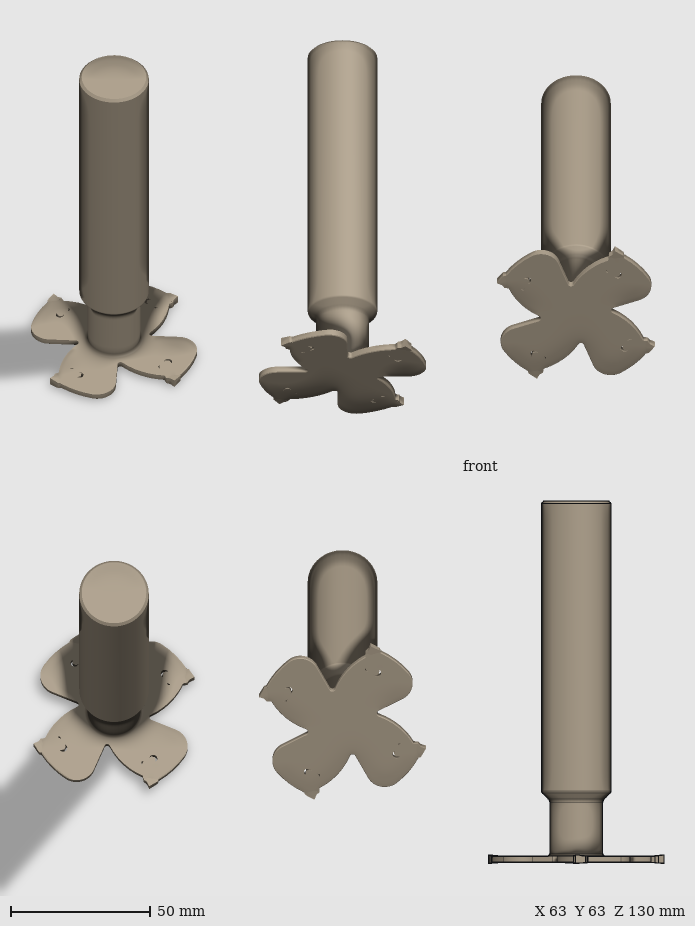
import cadquery as cq
import math

total_height = 130.0
blade_count = 4
blade_pitch = 360 / blade_count

disc_bottom = 0.3
disc_top = 2.6
disc_thickness = disc_top - disc_bottom
disc_bottom_chamfer = 0.3
hub_half_width = 13.0
rim_radius = 30.5
rim_bevel_width = 0.4
rim_bevel_drop = 0.1
blade_tip_radius = 6.8
blade_tip_angle = 31.5
root_fillet = 1.0
root_corner = (6.8, 9.1)
trailing_middle = (18.8, -5.3)
trailing_end = (26.9, -0.5)
rim_end_angle = 7.9

shank_radius = 25.0 / 2
neck_radius = 19.0 / 2
shank_top_chamfer = 0.9
shoulder_top = 25.6
shoulder_angle = math.radians(45)
shoulder_bottom = shoulder_top - (shank_radius - neck_radius) / math.tan(shoulder_angle)
shoulder_edge_radius = 1.0
neck_top_radius = 2.0
neck_base_radius = 1.0

cutting_width = 63.0
cutting_corner_bottom = 0.0
cutting_corner_top = 3.1
back_leading = (21.2, 6.5)
back_trailing = (21.7, 1.0)
heel = (28.2, -1.0)
notch = (29.5, -0.32)
cutting_corner = (cutting_width / 2, -0.3)
nose = (30.4, 3.9)
flank = (31.0, 3.4)
ramp_end = (28.3, 1.0)
back_leading_chamfer = 1.2
back_trailing_chamfer = 1.0
pocket_relief_radius = 1.4
pocket_relief_centre = (22.4, 5.5)


def turned(point, degrees):
    """The point turned about the Z axis."""
    angle = math.radians(degrees)
    x, y = point
    return (
        x * math.cos(angle) - y * math.sin(angle),
        x * math.sin(angle) + y * math.cos(angle),
    )


def tip_points():
    """Start, middle and end of the blade tip arc, tangent to the leading edge and to the rim."""
    centre = turned((rim_radius - blade_tip_radius, 0), blade_tip_angle)
    to_root = (root_corner[0] - centre[0], root_corner[1] - centre[1])
    root_direction = math.degrees(math.atan2(to_root[1], to_root[0]))
    tangent_angle = math.degrees(math.acos(blade_tip_radius / math.hypot(*to_root)))
    start_angle = root_direction % 360 - tangent_angle
    angles = (start_angle, (start_angle + blade_tip_angle) / 2, blade_tip_angle)
    points = []
    for angle in angles:
        x, y = turned((blade_tip_radius, 0), angle)
        points.append((centre[0] + x, centre[1] + y))
    return points


def make_rim_envelope():
    """Round blank of the disc, with a shallow bevel around its upper face."""
    return (
        cq.Workplane("XZ")
        .moveTo(0, disc_bottom)
        .lineTo(rim_radius, disc_bottom)
        .lineTo(rim_radius, disc_top - rim_bevel_drop)
        .lineTo(rim_radius - rim_bevel_width, disc_top)
        .lineTo(0, disc_top)
        .close()
        .revolve(360, (0, 0, 0), (0, 1, 0))
    )


def make_disc():
    """Four-bladed disc with rounded roots, a chamfered lower edge and a bevelled upper rim."""
    tip_start, tip_middle, tip_end = tip_points()
    rim_middle = turned((rim_radius, 0), (blade_tip_angle + rim_end_angle) / 2)
    rim_end = turned((rim_radius, 0), rim_end_angle)
    outline = cq.Workplane("XY", origin=(0, 0, disc_bottom)).moveTo(*root_corner)
    for index in range(blade_count):
        turn = -index * blade_pitch
        outline = (
            outline.lineTo(*turned(tip_start, turn))
            .threePointArc(turned(tip_middle, turn), turned(tip_end, turn))
            .threePointArc(turned(rim_middle, turn), turned(rim_end, turn))
            .lineTo(*turned(trailing_end, turn))
            .threePointArc(turned(trailing_middle, turn), turned(root_corner, turn - blade_pitch))
        )
    disc = outline.close().extrude(disc_thickness)
    hub = cq.selectors.BoxSelector(
        (-hub_half_width, -hub_half_width, 0),
        (hub_half_width, hub_half_width, total_height),
    )
    disc = disc.edges("|Z").edges(hub).fillet(root_fillet)
    disc = disc.faces("<Z").chamfer(disc_bottom_chamfer)
    return disc.intersect(make_rim_envelope())


def make_shank():
    """Revolved shank and neck, flared where the neck meets the disc."""
    half_angle = shoulder_angle / 2
    neck_length = neck_top_radius * math.tan(half_angle)
    edge_length = shoulder_edge_radius * math.tan(half_angle)
    cone_out = math.sin(shoulder_angle)
    cone_up = math.cos(shoulder_angle)

    flare_radius = neck_radius + neck_base_radius
    flare_middle = neck_base_radius * (1 - math.sqrt(0.5))
    neck_end = (neck_radius, shoulder_bottom - neck_length)
    neck_bend = (
        neck_radius + neck_top_radius * (1 - math.cos(half_angle)),
        neck_end[1] + neck_top_radius * math.sin(half_angle),
    )
    cone_start = (neck_radius + neck_length * cone_out, shoulder_bottom + neck_length * cone_up)
    cone_end = (shank_radius - edge_length * cone_out, shoulder_top - edge_length * cone_up)
    edge_end = (shank_radius, shoulder_top + edge_length)
    edge_bend = (
        shank_radius - shoulder_edge_radius * (1 - math.cos(half_angle)),
        edge_end[1] - shoulder_edge_radius * math.sin(half_angle),
    )
    return (
        cq.Workplane("XZ")
        .moveTo(0, disc_bottom)
        .lineTo(flare_radius, disc_bottom)
        .lineTo(flare_radius, disc_top)
        .threePointArc(
            (neck_radius + flare_middle, disc_top + flare_middle),
            (neck_radius, disc_top + neck_base_radius),
        )
        .lineTo(*neck_end)
        .threePointArc(neck_bend, cone_start)
        .lineTo(*cone_end)
        .threePointArc(edge_bend, edge_end)
        .lineTo(shank_radius, total_height - shank_top_chamfer)
        .lineTo(shank_radius - shank_top_chamfer, total_height)
        .lineTo(0, total_height)
        .close()
        .revolve(360, (0, 0, 0), (0, 1, 0))
    )


def slab(points):
    """Prism through the thickness of the disc."""
    return cq.Workplane("XY", origin=(0, 0, disc_bottom)).polyline(points).close().extrude(disc_thickness)


def toward(start, end, distance):
    """The point that lies the distance from start on the way to end."""
    share = distance / math.dist(start, end)
    return (start[0] + share * (end[0] - start[0]), start[1] + share * (end[1] - start[1]))


def make_pocket():
    """Seat of an insert: sharp corners, with a round relief at the inner leading one."""
    seat = slab([back_leading, back_trailing, heel, notch, cutting_corner, flank, nose])
    relief = (
        cq.Workplane("XY", origin=(0, 0, disc_bottom))
        .center(*pocket_relief_centre)
        .circle(pocket_relief_radius)
        .extrude(disc_thickness)
    )
    return seat.union(relief)


def make_ramp(lift):
    """Wedge on the upper face that climbs from the ramp line to the cutting corner."""
    along = (nose[0] - ramp_end[0], nose[1] - ramp_end[1])
    line_length = math.hypot(*along)
    up_slope = (along[1] / line_length, -along[0] / line_length)
    run = (
        (cutting_corner[0] - ramp_end[0]) * up_slope[0]
        + (cutting_corner[1] - ramp_end[1]) * up_slope[1]
    )
    profile_plane = cq.Plane(
        origin=(*ramp_end, disc_top),
        xDir=(*up_slope, 0),
        normal=(up_slope[1], -up_slope[0], 0),
    )
    wedge = (
        cq.Workplane(profile_plane)
        .polyline([(0, 0), (run, 0), (run, lift)])
        .close()
        .extrude(line_length + run, both=True)
    )
    tip = slab([nose, ramp_end, heel, notch, cutting_corner, flank]).translate((0, 0, disc_thickness))
    return wedge.intersect(tip)


def make_insert():
    """Cutting insert, flush with both faces of the disc except for its ramps."""
    plate = slab([
        toward(back_leading, nose, back_leading_chamfer),
        toward(back_leading, back_trailing, back_leading_chamfer),
        toward(back_trailing, back_leading, back_trailing_chamfer),
        toward(back_trailing, heel, back_trailing_chamfer),
        heel,
        notch,
        cutting_corner,
        flank,
        nose,
    ])
    upper_ramp = make_ramp(cutting_corner_top - disc_top)
    lower_ramp = make_ramp(disc_bottom - cutting_corner_bottom)
    lower_ramp = lower_ramp.mirror("XY", (0, 0, (disc_bottom + disc_top) / 2))
    return plate.union(upper_ramp).union(lower_ramp)


def around_axis(body):
    """Copies of the body, one for each blade."""
    return [body.rotate((0, 0, 0), (0, 0, 1), index * blade_pitch) for index in range(blade_count)]


cutter = make_disc().union(make_shank())
for pocket in around_axis(make_pocket()):
    cutter = cutter.cut(pocket)
inserts = around_axis(make_insert())

result = cq.Compound.makeCompound([cutter.val(), *[insert.val() for insert in inserts]])